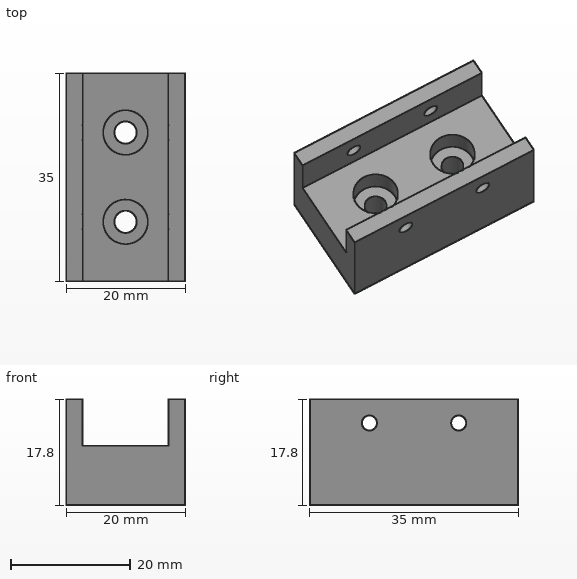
import cadquery as cq

width = 20.0
length = 35.0
height = 17.8

wall_thickness = 2.8
floor_height = 10.0
channel_width = width - 2 * wall_thickness
channel_depth = height - floor_height

hole_end_offset = 10.0
hole_y_positions = (hole_end_offset - length / 2, length / 2 - hole_end_offset)

mount_hole_diameter = 3.7
counterbore_diameter = 7.5
counterbore_depth = 4.2

cross_hole_diameter = 2.5
cross_hole_top_offset = 4.0
cross_hole_height = height - cross_hole_top_offset


def make_channel_block():
    """U-shaped body with its underside on Z = 0, centred in X and Y."""
    block = cq.Workplane("XY").box(width, length, height, centered=(True, True, False))
    channel = (
        cq.Workplane("XY")
        .workplane(offset=floor_height)
        .box(channel_width, length, channel_depth, centered=(True, True, False))
    )
    return block.cut(channel)


def cut_mounting_holes(body):
    """Vertical counterbored holes, entered from the channel floor."""
    hole_points = [(0, y) for y in hole_y_positions]
    through_holes = (
        cq.Workplane("XY")
        .pushPoints(hole_points)
        .circle(mount_hole_diameter / 2)
        .extrude(floor_height)
    )
    counterbores = (
        cq.Workplane("XY")
        .workplane(offset=floor_height - counterbore_depth)
        .pushPoints(hole_points)
        .circle(counterbore_diameter / 2)
        .extrude(counterbore_depth)
    )
    return body.cut(through_holes).cut(counterbores)


def cut_cross_holes(body):
    """Horizontal holes along X through both walls."""
    drills = (
        cq.Workplane("YZ")
        .workplane(offset=-width / 2)
        .pushPoints([(y, cross_hole_height) for y in hole_y_positions])
        .circle(cross_hole_diameter / 2)
        .extrude(width)
    )
    return body.cut(drills)


result = make_channel_block()
result = cut_mounting_holes(result)
result = cut_cross_holes(result)